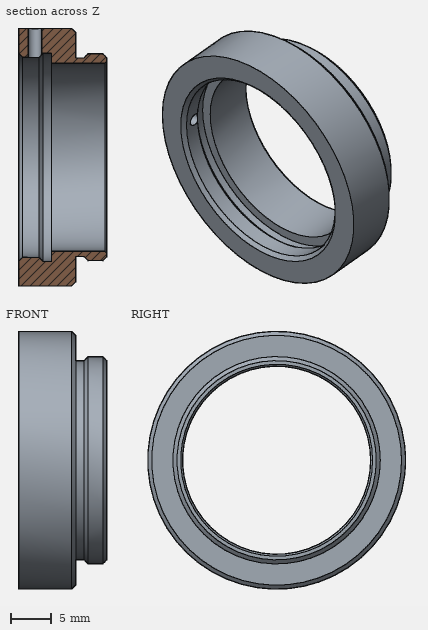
import cadquery as cq

total_length = 10.8
flange_length = 7.0
flange_diameter = 31.6
bore_diameter = 23.0
bore_chamfer = 0.25
edge_chamfer = 0.5

thread_diameter = 25.4
neck_diameter = 24.4
thread_start = 8.0

socket_diameter = 24.5
relief_diameter = 25.5
mouth_diameter = relief_diameter
relief_start = 2.5
socket_depth = 4.0

radial_hole_diameter = 1.6
radial_hole_x = 2.0

flange_radius = flange_diameter / 2
bore_radius = bore_diameter / 2
thread_radius = thread_diameter / 2
neck_radius = neck_diameter / 2
socket_radius = socket_diameter / 2
relief_radius = relief_diameter / 2
mouth_radius = mouth_diameter / 2
mouth_chamfer = mouth_radius - socket_radius
relief_slope = relief_radius - socket_radius
thread_slope = thread_radius - neck_radius


def make_turned_body():
    """Half section in the XY plane, revolved about the X axis."""
    outside = [
        (0, mouth_radius),
        (0, flange_radius),
        (flange_length - edge_chamfer, flange_radius),
        (flange_length, flange_radius - edge_chamfer),
        (flange_length, neck_radius),
        (thread_start, neck_radius),
        (thread_start + thread_slope, thread_radius),
        (total_length - edge_chamfer, thread_radius),
        (total_length, thread_radius - edge_chamfer),
    ]
    inside = [
        (total_length, bore_radius + bore_chamfer),
        (total_length - bore_chamfer, bore_radius),
        (socket_depth, bore_radius),
        (socket_depth, relief_radius),
        (relief_start + relief_slope, relief_radius),
        (relief_start, socket_radius),
        (mouth_chamfer, socket_radius),
    ]
    section = cq.Workplane("XY").polyline(outside + inside).close()
    return section.revolve(360, (0, 0, 0), (1, 0, 0))


def make_radial_hole():
    """Cutter running along +Y from the tube axis to the outside of the flange."""
    hole_plane = cq.Plane(origin=(radial_hole_x, 0, 0), xDir=(1, 0, 0), normal=(0, 1, 0))
    return cq.Workplane(hole_plane).circle(radial_hole_diameter / 2).extrude(flange_radius)


tube = make_turned_body().cut(make_radial_hole())

result = cq.Compound.makeCompound([tube.val()])